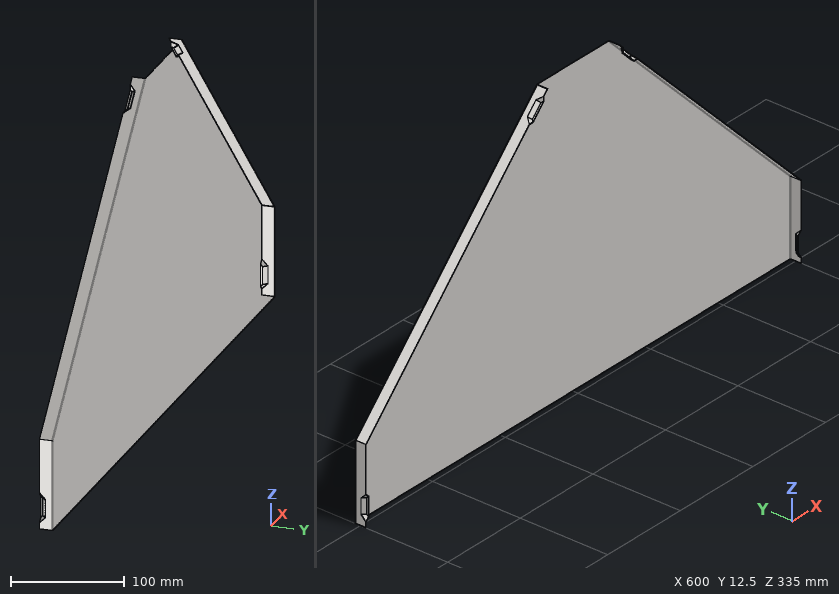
import cadquery as cq
import math

length = 600.0
height = 335.0
depth = 12.5
top_width = 100.0
thickness = 0.7
bend_radius = 0.35

dent_bottom_distance = 20.0
dent_top_distance = 21.0
dent_mouth_width = 27.5
dent_reach = 5.5
dent_inset = 3.5
dent_wall_margin = thickness / 2

half_length = length / 2
half_top = top_width / 2
slope_run = half_length - half_top
shoulder_height = height - slope_run
miter_angle = math.radians(45 / 2)


def symmetric_prism(right_points, y_start, y_end):
    """Extrude an outline mirrored about X = 0 from y_start to y_end."""
    left_points = [(-x, z) for x, z in reversed(right_points)]
    outline = cq.Workplane("XZ", origin=(0, y_start, 0)).polyline(right_points + left_points).close()
    return outline.extrude(y_start - y_end)


def round_bends(prism, radius):
    """Round the back edges along the flanges, leaving the open top and bottom edges sharp."""
    return prism.faces(">Y").edges("not |X").fillet(radius)


def make_tray():
    """Back plate with flanges along the vertical and slanted edges; top and bottom stay open."""
    outer = [(half_length, 0), (half_length, shoulder_height), (half_top, height)]
    inner_half = half_length - thickness
    inner_shoulder = shoulder_height - thickness * math.tan(miter_angle)
    inner_top = half_top - thickness * math.sqrt(2)
    inner = [(inner_half, 0), (inner_half, inner_shoulder), (inner_top, height)]
    blank = round_bends(symmetric_prism(outer, 0, depth), bend_radius + thickness)
    cavity = round_bends(symmetric_prism(inner, 0, depth - thickness), bend_radius)
    return blank.cut(cavity)


def dent_frustum(plane, start, margin):
    """Tapered dent volume beginning at distance start inside the flange and grown by margin."""
    def trapezoid(workplane, mouth_width, reach):
        half_mouth = mouth_width / 2
        half_root = half_mouth - reach
        return workplane.polyline(
            [(-half_mouth, 0), (half_mouth, 0), (half_root, reach), (-half_root, reach)]
        ).close()

    mouth_width = dent_mouth_width + 2 * margin
    reach = dent_reach + margin
    base = trapezoid(cq.Workplane(plane).workplane(offset=start), mouth_width, reach)
    floor = trapezoid(
        base.workplane(offset=dent_inset), mouth_width - 2 * dent_inset, reach - dent_inset
    )
    return floor.loft(ruled=True)


def add_dent(body, centre, inward):
    """Press one dent at the lip point centre (X, Z) along the inward direction (X, Z)."""
    normal = cq.Vector(inward[0], 0, inward[1])
    along = cq.Vector(0, 1, 0).cross(normal)
    plane = cq.Plane(origin=(centre[0], 0, centre[1]), xDir=along, normal=normal)
    bulge = dent_frustum(plane, thickness, dent_wall_margin)
    hollow = dent_frustum(plane, 0, 0)
    return body.union(bulge).cut(hollow)


result = make_tray()
slope_offset = dent_top_distance / math.sqrt(2)
for side in (-1, 1):
    vertical_centre = (side * half_length, dent_bottom_distance)
    slanted_centre = (side * (half_top + slope_offset), height - slope_offset)
    result = add_dent(result, vertical_centre, (-side, 0))
    result = add_dent(result, slanted_centre, (-side, -1))